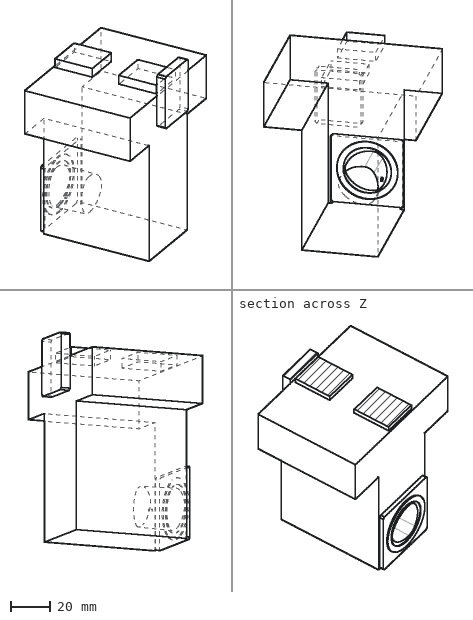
import cadquery as cq
import math

body_length = 62.0
body_width = 40.0
head_width = 80.0
body_height = 67.0
head_height = 25.0
top_z = body_height + head_height
front_x = 0.0
back_x = front_x + body_length

pad_length = 22.0
pad_width = 20.0
pad_height = 5.0
front_pad_inset = 1.0
back_pad_inset = 1.5
pad_starts_x = (front_x + front_pad_inset, back_x - back_pad_inset - pad_length)

corner_chamfer = 1.0

tab_thickness = 5.0
tab_width = 24.0
tab_height = 30.0
tab_top_z = 104.0

plate_size = 38.0
plate_thickness = 2.3
socket_z = plate_size / 2

ring_diameter = 32.0
ring_height = 0.7
recess_diameter = 25.2
recess_depth = 0.5
tip_distance = 11.6
flank_distance = 10.4
lobe_radius = 6.6
bore_depth = 19.0
bore_taper = 1 / 20
bore_taper_angle = math.degrees(math.atan(bore_taper / 2))

lobe_offset = tip_distance - lobe_radius
flank_gap = flank_distance - lobe_radius
flank_offset = (lobe_offset**2 - flank_gap**2) / (2 * flank_gap - lobe_offset)
lobe_half_angle = math.degrees(
    math.atan2(flank_offset * math.sin(math.pi / 3), lobe_offset + flank_offset * math.cos(math.pi / 3))
)

pin_diameter = 2.0
pin_tip_y = -9.5
pin_root_y = -11.0
pin_depth = bore_depth / 2

ring_face_x = front_x - plate_thickness - ring_height
bore_mouth_x = ring_face_x + recess_depth


def block(x_start, length, width, z_start, height):
    """Box centred on Y, growing along +X and +Z from its start."""
    shape = cq.Workplane("XY").box(length, width, height, centered=(False, True, False))
    return shape.translate((x_start, 0, z_start))


def socket_plane(x):
    """Plane across the socket axis, with local x along -Y, local y along Z and normal along -X."""
    return cq.Workplane(cq.Plane(origin=(x, 0, socket_z), xDir=(0, -1, 0), normal=(-1, 0, 0)))


def polar(radius, degrees):
    """Point at a radius and angle, measured from +Y towards +Z."""
    angle = math.radians(degrees)
    return -radius * math.cos(angle), radius * math.sin(angle)


def lobe_end(lobe_angle, side):
    """End of a lobe arc, to one side (+1 or -1) of the lobe direction."""
    center = polar(lobe_offset, lobe_angle)
    reach = polar(lobe_radius, lobe_angle + side * lobe_half_angle)
    return center[0] + reach[0], center[1] + reach[1]


def lobed_outline(x):
    """Rounded triangle of six tangent arcs, with one lobe pointing to +Y."""
    outline = socket_plane(x).moveTo(*lobe_end(0, -1))
    for lobe_angle in (0, 120, 240):
        outline = outline.threePointArc(polar(tip_distance, lobe_angle), lobe_end(lobe_angle, 1))
        outline = outline.threePointArc(polar(flank_distance, lobe_angle + 60), lobe_end(lobe_angle + 120, -1))
    return outline.close()


def make_body():
    body = block(front_x, body_length, body_width, 0, body_height)
    return body.union(block(front_x, body_length, head_width, body_height, head_height))


def make_pad(x_start):
    return block(x_start, pad_length, pad_width, top_z, pad_height)


def make_tab():
    tab = block(back_x, tab_thickness, tab_width, tab_top_z - tab_height, tab_height)
    return tab.edges("|X").chamfer(corner_chamfer)


def make_plate():
    plate_x = front_x - plate_thickness
    plate = block(plate_x, plate_thickness, plate_size, 0, plate_size)
    plate = plate.edges("|X").chamfer(corner_chamfer)
    ring = socket_plane(plate_x).circle(ring_diameter / 2).extrude(ring_height)
    return plate.union(ring)


def make_socket_cut():
    recess = socket_plane(bore_mouth_x).circle(recess_diameter / 2).extrude(recess_depth)
    bore = lobed_outline(bore_mouth_x).extrude(-bore_depth, taper=bore_taper_angle)
    return recess.union(bore)


def make_pin():
    plane = cq.Plane(origin=(bore_mouth_x + pin_depth, pin_root_y, socket_z), xDir=(1, 0, 0), normal=(0, 1, 0))
    return cq.Workplane(plane).circle(pin_diameter / 2).extrude(pin_tip_y - pin_root_y)


result = make_body()
for pad_x in pad_starts_x:
    result = result.union(make_pad(pad_x))
result = result.union(make_tab())
result = result.union(make_plate())
result = result.cut(make_socket_cut())
result = result.union(make_pin())